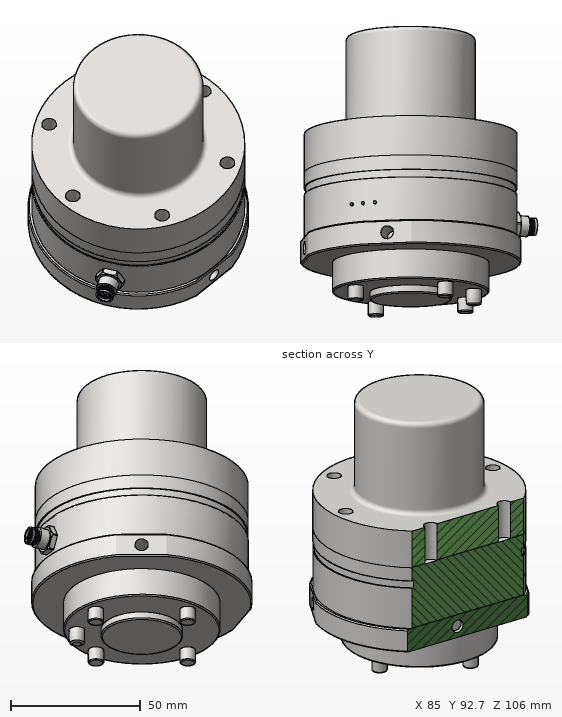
import cadquery as cq
import math


pin_tip_z = 0.0
screw_end_z = 0.5
spigot_bottom_z = 3.0
puck_bottom_z = 6.0
flange_bottom_z = 17.5
flange_top_z = 27.0
groove_bottom_z = 43.8
groove_top_z = 46.8
cover_bottom_z = 52.4
cover_shoulder_z = 67.8
total_height = 106.0

body_diameter = 82.2
cap_diameter = 50.0
cap_edge_radius = 2.0
cover_hole_diameter = 5.6
cover_hole_circle = 71.2
cover_hole_count = 6

groove_diameter = 81.2
connector_flat_width = 10.0
lamp_angles = (129.0, 136.0, 143.0)
lamp_diameter = 1.2
lamp_depth = 0.4
lamp_z = 34.3

flange_diameter = 85.03
flange_chamfer = 0.5
flange_flat_angles = (81.0, 150.0, 330.0)
flange_flat_half_angle = 13.2
port_diameter = 5.0
port_depth = 12.0
puck_diameter = 60.45
puck_chamfer = 0.5
spigot_diameter = 31.46
spigot_chamfer = 0.5
peg_circle = 50.0
screw_angles = (15.0, 105.0, 195.0, 285.0)
screw_diameter = 6.0
screw_chamfer = 0.4
pin_angle = 240.0
pin_diameter = 6.0
pin_taper_start_z = 2.15
pin_taper_end_z = 0.4
pin_taper_end_diameter = 5.5
pin_tip_diameter = 3.4

connector_z = 34.3
nut_across_flats = 10.0
nut_corner_diameter = 11.25
nut_face_diameter = 9.75
nut_length = 2.4
collar_diameter = 8.0
collar_length = 3.78
neck_diameter = 6.05
neck_length = 0.7
thread_diameter = 6.76
thread_length = 2.6
thread_groove_starts = (0.4, 1.15)
thread_groove_width = 0.35
socket_diameter = 5.51
socket_depth = 3.0
contact_diameter = 0.8
contact_length = 2.0
contact_circle = 3.5
contact_pitch_angle = 66.0
key_size = 0.6

body_radius = body_diameter / 2
flange_radius = flange_diameter / 2
connector_flat_distance = math.sqrt(body_radius**2 - (connector_flat_width / 2) ** 2)
nut_chamfer_height = (nut_corner_diameter - nut_face_diameter) / 2 * math.tan(math.radians(30))


def cylinder(diameter, bottom, top):
    return cq.Workplane("XY").workplane(offset=bottom).circle(diameter / 2).extrude(top - bottom)


def polar(radius, angle):
    return (radius * math.cos(math.radians(angle)), radius * math.sin(math.radians(angle)))


def radial_plane(distance, angle, z):
    """Plane facing outwards at an angle around Z, a given distance from the axis."""
    x, y = polar(distance, angle)
    return cq.Workplane(cq.Plane(origin=(x, y, z), xDir=(0, 0, 1), normal=(*polar(1, angle), 0)))


def make_cover():
    """Rounded cap on a wide shoulder with a ring of screw holes."""
    shoulder = cylinder(body_diameter, cover_bottom_z, cover_shoulder_z)
    cap = cylinder(cap_diameter, cover_shoulder_z, total_height).faces(">Z").edges().fillet(cap_edge_radius)
    foot = (
        cq.Workplane("XZ")
        .moveTo(0, cover_shoulder_z)
        .lineTo(cap_diameter / 2 + cap_edge_radius, cover_shoulder_z)
        .radiusArc((cap_diameter / 2, cover_shoulder_z + cap_edge_radius), cap_edge_radius)
        .lineTo(0, cover_shoulder_z + cap_edge_radius)
        .close()
        .revolve(360, (0, 0, 0), (0, 1, 0))
    )
    holes = (
        cq.Workplane("XY")
        .workplane(offset=cover_bottom_z)
        .polarArray(cover_hole_circle / 2, 0, 360, cover_hole_count)
        .circle(cover_hole_diameter / 2)
        .extrude(cover_shoulder_z - cover_bottom_z)
    )
    return shoulder.union(cap).union(foot).cut(holes)


def make_housing():
    """Drum with a shallow groove, a flat for the connector and three lamp recesses."""
    drum = cylinder(body_diameter, flange_top_z, groove_bottom_z)
    flat_cut = cq.Workplane("XY").box(
        body_diameter, body_diameter, groove_bottom_z - flange_top_z, centered=(True, False, False)
    ).translate((0, -connector_flat_distance - body_diameter, flange_top_z))
    drum = drum.cut(flat_cut)
    for angle in lamp_angles:
        lamp_plane = radial_plane(body_radius, angle, lamp_z)
        drum = drum.cut(lamp_plane.circle(lamp_diameter / 2).extrude(-lamp_depth))
    groove = cylinder(groove_diameter, groove_bottom_z, groove_top_z)
    ring = cylinder(body_diameter, groove_top_z, cover_bottom_z)
    return drum.union(groove).union(ring)


def make_flange():
    """Disc with flats, chamfered all round and drilled radially through each flat."""
    flange = cylinder(flange_diameter, flange_bottom_z, flange_top_z)
    thickness = flange_top_z - flange_bottom_z
    middle_z = (flange_top_z + flange_bottom_z) / 2
    flat_distance = flange_radius * math.cos(math.radians(flange_flat_half_angle))
    flat_planes = [radial_plane(flat_distance, angle, middle_z) for angle in flange_flat_angles]
    for flat_plane in flat_planes:
        flange = flange.cut(flat_plane.rect(thickness, flange_diameter).extrude(flange_radius))
    flange = flange.faces("<Z or >Z").edges().chamfer(flange_chamfer)
    for flat_plane in flat_planes:
        flange = flange.cut(flat_plane.circle(port_diameter / 2).extrude(-port_depth))
    return flange


def make_locating_pin():
    """Pin with a tapered end and a blunt conical tip."""
    return (
        cq.Workplane("XZ")
        .moveTo(0, puck_bottom_z)
        .lineTo(pin_diameter / 2, puck_bottom_z)
        .lineTo(pin_diameter / 2, pin_taper_start_z)
        .lineTo(pin_taper_end_diameter / 2, pin_taper_end_z)
        .lineTo(pin_tip_diameter / 2, pin_tip_z)
        .lineTo(0, pin_tip_z)
        .close()
        .revolve(360, (0, 0, 0), (0, 1, 0))
        .translate((*polar(peg_circle / 2, pin_angle), 0))
    )


def make_base():
    """Flange, puck and spigot with the screw ends and the locating pin below."""
    puck = cylinder(puck_diameter, puck_bottom_z, flange_bottom_z).faces("<Z").edges().chamfer(puck_chamfer)
    spigot = cylinder(spigot_diameter, spigot_bottom_z, puck_bottom_z)
    spigot = spigot.faces("<Z").edges().chamfer(spigot_chamfer)
    screw = cylinder(screw_diameter, screw_end_z, puck_bottom_z).faces("<Z").edges().chamfer(screw_chamfer)
    base = make_flange().union(puck).union(spigot).union(make_locating_pin())
    for angle in screw_angles:
        base = base.union(screw.translate((*polar(peg_circle / 2, angle), 0)))
    return base


def make_connector():
    """Threaded multi-pin connector, built upwards along Z and then turned to point along -Y."""
    collar_start = nut_length
    neck_start = collar_start + collar_length
    thread_start = neck_start + neck_length
    end = thread_start + thread_length

    nut_limit = cylinder(nut_corner_diameter, 0, nut_length).faces(">Z").edges().chamfer(
        nut_chamfer_height, (nut_corner_diameter - nut_face_diameter) / 2
    )
    nut_circumscribed = nut_across_flats / math.cos(math.radians(30))
    nut = cq.Workplane("XY").polygon(6, nut_circumscribed).extrude(nut_length).intersect(nut_limit)

    connector = (
        nut.union(cylinder(collar_diameter, collar_start, neck_start))
        .union(cylinder(neck_diameter, neck_start, thread_start))
        .union(cylinder(thread_diameter, thread_start, end))
    )
    for offset in thread_groove_starts:
        groove_start = thread_start + offset
        groove_end = groove_start + thread_groove_width
        groove = cylinder(thread_diameter, groove_start, groove_end)
        connector = connector.cut(groove.cut(cylinder(neck_diameter, groove_start, groove_end)))

    socket_floor = end - socket_depth
    connector = connector.cut(cylinder(socket_diameter, socket_floor, end))
    contact = cylinder(contact_diameter, socket_floor, socket_floor + contact_length)
    connector = connector.union(contact)
    for step in range(-2, 3):
        x, y = polar(contact_circle / 2, step * contact_pitch_angle)
        connector = connector.union(contact.translate((x, y, 0)))
    key = cq.Workplane("XY").box(key_size, key_size, socket_depth, centered=(True, True, False))
    connector = connector.union(key.translate((-socket_diameter / 2 + key_size / 4, 0, socket_floor)))

    return connector.rotate((0, 0, 0), (1, 0, 0), 90).translate((0, -connector_flat_distance, connector_z))


cover = make_cover()
housing = make_housing()
base = make_base()
connector = make_connector()

result = cq.Compound.makeCompound([cover.val(), housing.val(), base.val(), connector.val()])